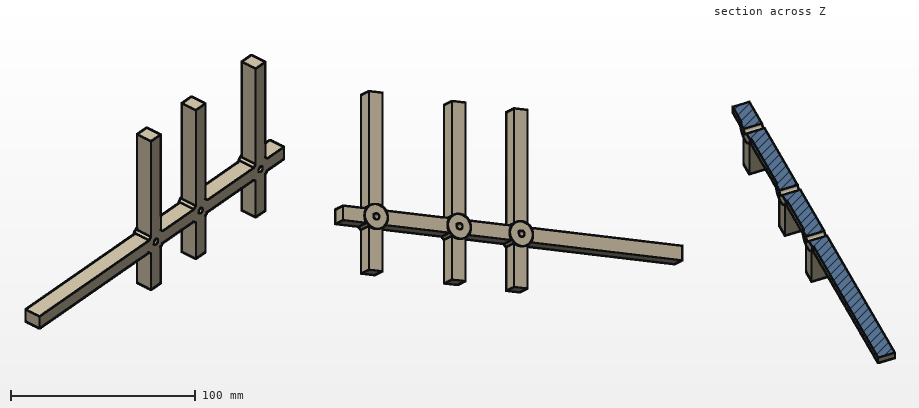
import cadquery as cq

rail_length = 204.8
bar_width = 8.2
bar_depth = 10.0

post_height = 100.0
post_below_axis = 30.1
first_post_inset = 19.7
first_post_spacing = 50.2
second_post_spacing = 37.5

hub_diameter = 14.0
hub_raise = 0.8
hole_diameter = 3.5

first_post_y = rail_length / 2 - first_post_inset
second_post_y = first_post_y - first_post_spacing
third_post_y = second_post_y - second_post_spacing
post_positions = [first_post_y, second_post_y, third_post_y]

hub_depth = bar_depth + hub_raise


def make_post(y):
    """Rectangular post whose faces are flush with the rail in X."""
    post_center_z = post_height / 2 - post_below_axis
    post = cq.Workplane("XY").box(bar_depth, bar_width, post_height)
    return post.translate((bar_depth / 2, y, post_center_z))


def make_crossing_cylinder(y, diameter):
    """Cylinder along X, from the raised hub face to the back of the bars."""
    face = cq.Workplane("YZ", origin=(-hub_raise, y, 0))
    return face.circle(diameter / 2).extrude(hub_depth)


result = cq.Workplane("XY").box(bar_depth, rail_length, bar_width)
result = result.translate((bar_depth / 2, 0, 0))

for post_y in post_positions:
    result = result.union(make_post(post_y))
    result = result.union(make_crossing_cylinder(post_y, hub_diameter))

for post_y in post_positions:
    result = result.cut(make_crossing_cylinder(post_y, hole_diameter))